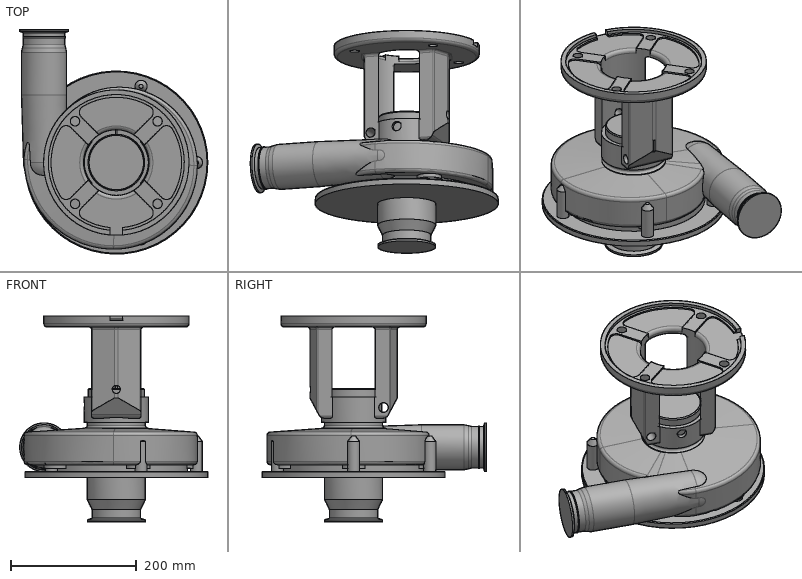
import cadquery as cq
import math

BASE_BOTTOM = 70.0
BASE_TOP = 80.0
CASING_BOTTOM = 90.5
ROOF_EDGE = 142.5
CASING_SHOULDER = 149.0
HUB_BOTTOM = 157.8
HUB_TOP = 198.0
SHAFT_TOP = 211.5
FLANGE_BOTTOM = 309.2
FLANGE_TOP = 326.5

BASE_RADIUS = 145.5
BASE_CHAMFER = 1.5
INLET_RADIUS = 46.3
INLET_NECK_RADIUS = 38.5
INLET_CONE_TOP = 35.3
INLET_CONE_BOTTOM = 19.2
INLET_RIM_RADIUS = 46.0
INLET_RIM_THICKNESS = 3.2
INLET_RIM_TOP = 5.7

SPIRAL_START_RADIUS = 146.5
SPIRAL_STEP = 9.0
SPIRAL_START_ANGLE = 180
SPIRAL_SWEEP = 324
TONGUE_RADIUS = 78.5
TONGUE_SWEEP = 55
CASING_FILLET = 5.5
ROOF_TOP_SCALE = 0.33
PLINTH_RADIUS = 113.3

POST_COUNT = 5
POST_CIRCLE_RADIUS = 127.0
POST_RADIUS = 9.5
POST_SHOULDER = 127.5
POST_TOP = 136.0
POST_TIP_RADIUS = 3.2
PAD_RADIUS = 19.5
PAD_INSET = 25.0
PAD_BOTTOM = 84.8

HUB_RADIUS = 51.3
NECK_RADIUS = 46.3
NECK_FILLET_RADIUS = 4.3
SHAFT_RADIUS = 45.0
SHAFT_CHAMFER = 1.8
HUB_HOLE_RADIUS = 7.5
HUB_HOLE_HEIGHT = 186.0

OUTLET_X = -114.7
OUTLET_Z = 118.3
OUTLET_END = 211.0
OUTLET_START_RADIUS = 32.8
OUTLET_RADIUS = 36.0
OUTLET_TAPER_END = 107.5
OUTLET_SHOULDER_START = 175.0
OUTLET_SHOULDER_RADIUS = 34.5
OUTLET_SHOULDER_END = 182.0
OUTLET_NECK_RADIUS = 33.0
OUTLET_NECK_START = 187.5
OUTLET_BEAD_RADIUS = 34.0
OUTLET_BEAD_START = 198.0
OUTLET_BEAD_END = 200.0
OUTLET_RIM_RADIUS = 39.0
OUTLET_RIM_THICKNESS = 3.0
OUTLET_RIM_TAPER = 2.0

FLANGE_RADIUS = 115.5
FLANGE_FILLET = 5.5
FLANGE_BORE_RADIUS = 52.0
RECESS_RADIUS = 108.0
RECESS_DEPTH = 5.0
POCKET_RADIUS = 103.5
POCKET_DEPTH = 7.5
POCKET_CORNER_RADIUS = 10.7
BORE_EDGE_RADIUS = 6.0
SPOKE_WIDTH = 23.5
BOLT_CIRCLE_RADIUS = 92.5
BOLT_HOLE_RADIUS = 7.5
NOTCH_WIDTH = 20.0

LEG_HALF_WIDTH = 39.2
LEG_SIDE_DEPTH = 58.5
LEG_RIDGE_DEPTH = 69.5
LEG_RIDGE_HALF_WIDTH = 3.0
LEG_INNER_DEPTH = 17.8
LEG_EDGE_FILLET = 2.0
LEG_BOTTOM = 164.2
LEG_BEVEL_TOP = 196.5
LEG_BEVEL_SLOPE = 1.9
FOOT_FRONT_FILLET = 10.7
FOOT_SIDE_FILLET = 3.5
LEG_ROOT_FILLET = 4.3
FRONT_HOLE_RADIUS = 6.5
FRONT_HOLE_HEIGHT = 210.0
SIDE_HOLE_RADIUS = 7.5
SIDE_HOLE_DEPTH = 47.5
SIDE_HOLE_HEIGHT = 181.3
SLIT_WIDTH = 3.0
SLIT_BOTTOM = 194.5
SLIT_TOP = 216.0


def disc(radius, bottom, top):
    """Cylinder on the pump axis between two heights."""
    return cq.Workplane("XY").workplane(offset=bottom).circle(radius).extrude(top - bottom)


def revolve_about_z(points):
    """Solid of revolution from (radius, height) points."""
    return cq.Workplane("XZ").polyline(points).close().revolve(360, (0, 0), (0, 1))


def polar(radius, degrees):
    angle = math.radians(degrees)
    return (radius * math.cos(angle), radius * math.sin(angle))


def spiral_radius(degrees):
    """Distance of the casing wall from the axis, counted on from the spiral start."""
    return SPIRAL_START_RADIUS - SPIRAL_STEP * (degrees - SPIRAL_START_ANGLE) / 90


def casing_outline(height, inset=0.0, scale=1.0):
    """Spiral of tangent quarter arcs, closed by a tongue arc and a chord inside the outlet."""
    half_step = scale * SPIRAL_STEP / 2
    radius = scale * (SPIRAL_START_RADIUS - SPIRAL_STEP / 2 - inset)
    tongue_radius = scale * (TONGUE_RADIUS - inset)
    tongue_x = tongue_radius - radius - half_step

    def tongue_point(sweep):
        x, y = polar(tongue_radius, SPIRAL_START_ANGLE - sweep)
        return (tongue_x + x, half_step + y)

    outline = cq.Workplane("XY").workplane(offset=height).moveTo(*tongue_point(0))
    quarter_centres = [(-1, 1), (-1, -1), (1, -1), (1, 1)]
    for quarter, (side_x, side_y) in enumerate(quarter_centres):
        start = SPIRAL_START_ANGLE + 90 * quarter
        sweep = min(90, SPIRAL_SWEEP - 90 * quarter)
        mid_x, mid_y = polar(radius, start + sweep / 2)
        end_x, end_y = polar(radius, start + sweep)
        centre_x = half_step * side_x
        centre_y = half_step * side_y
        outline = outline.threePointArc(
            (centre_x + mid_x, centre_y + mid_y),
            (centre_x + end_x, centre_y + end_y),
        )
        radius -= 2 * half_step
    return (
        outline
        .lineTo(*tongue_point(TONGUE_SWEEP))
        .threePointArc(tongue_point(TONGUE_SWEEP / 2), tongue_point(0))
        .close()
    )


def make_base_and_inlet():
    plate = disc(BASE_RADIUS, BASE_BOTTOM, BASE_TOP).faces(">Z").chamfer(BASE_CHAMFER)
    inlet = revolve_about_z([
        (0, BASE_TOP),
        (INLET_RADIUS, BASE_TOP),
        (INLET_RADIUS, INLET_CONE_TOP),
        (INLET_NECK_RADIUS, INLET_CONE_BOTTOM),
        (INLET_NECK_RADIUS, INLET_RIM_TOP),
        (INLET_RIM_RADIUS, INLET_RIM_THICKNESS),
        (INLET_RIM_RADIUS, 0),
        (0, 0),
    ])
    return plate.union(inlet)


def make_casing():
    wall = (
        casing_outline(CASING_BOTTOM)
        .extrude(ROOF_EDGE - CASING_BOTTOM)
        .faces("<Z or >Z")
        .edges()
        .fillet(CASING_FILLET)
    )
    roof_edge = wall.faces(">Z").wires().val()
    roof_top = casing_outline(CASING_SHOULDER, CASING_FILLET, ROOF_TOP_SCALE).wire().val()
    roof = cq.Workplane(cq.Solid.makeLoft([roof_edge, roof_top], True))
    return wall.union(roof).union(disc(PLINTH_RADIUS, BASE_TOP, CASING_BOTTOM))


def make_posts():
    post = revolve_about_z([
        (0, BASE_TOP),
        (POST_RADIUS, BASE_TOP),
        (POST_RADIUS, POST_SHOULDER),
        (POST_TIP_RADIUS, POST_TOP),
        (0, POST_TOP),
    ])
    pad = disc(PAD_RADIUS, PAD_BOTTOM, CASING_BOTTOM + CASING_FILLET)
    posts = cq.Workplane("XY")
    for index in range(POST_COUNT):
        degrees = SPIRAL_START_ANGLE + 360 / POST_COUNT * (index + 0.5)
        post_x, post_y = polar(POST_CIRCLE_RADIUS, degrees)
        pad_x, pad_y = polar(spiral_radius(degrees) - PAD_INSET, degrees)
        posts = posts.union(post.translate((post_x, post_y, 0)))
        posts = posts.union(pad.translate((pad_x, pad_y, 0)))
    return posts


def make_outlet():
    x = OUTLET_X
    profile = (
        cq.Workplane("XY")
        .workplane(offset=OUTLET_Z)
        .moveTo(x, -OUTLET_START_RADIUS)
        .radiusArc((x + OUTLET_START_RADIUS, 0), -OUTLET_START_RADIUS)
        .lineTo(x + OUTLET_RADIUS, OUTLET_TAPER_END)
        .lineTo(x + OUTLET_RADIUS, OUTLET_SHOULDER_START)
        .lineTo(x + OUTLET_SHOULDER_RADIUS, OUTLET_SHOULDER_END)
        .lineTo(x + OUTLET_NECK_RADIUS, OUTLET_NECK_START)
        .lineTo(x + OUTLET_NECK_RADIUS, OUTLET_BEAD_START)
        .lineTo(x + OUTLET_BEAD_RADIUS, OUTLET_BEAD_START)
        .lineTo(x + OUTLET_BEAD_RADIUS, OUTLET_BEAD_END)
        .lineTo(x + OUTLET_NECK_RADIUS, OUTLET_BEAD_END)
        .lineTo(x + OUTLET_NECK_RADIUS, OUTLET_END - OUTLET_RIM_THICKNESS - OUTLET_RIM_TAPER)
        .lineTo(x + OUTLET_RIM_RADIUS, OUTLET_END - OUTLET_RIM_THICKNESS)
        .lineTo(x + OUTLET_RIM_RADIUS, OUTLET_END)
        .lineTo(x, OUTLET_END)
        .close()
    )
    return profile.revolve(360, (x, 0), (x, 1))


def make_pocket_sectors(bottom):
    """Four round-cornered sectors between the spokes, from a height up to the flange top."""
    sectors = disc(POCKET_RADIUS, bottom, FLANGE_TOP)
    spoke = cq.Workplane("XY").box(2 * FLANGE_RADIUS, SPOKE_WIDTH, 3 * FLANGE_TOP)
    for degrees in (45, 135):
        sectors = sectors.cut(spoke.rotate((0, 0, 0), (0, 0, 1), degrees))
    outer_corners = [
        edge for edge in sectors.edges("|Z").vals()
        if math.hypot(edge.Center().x, edge.Center().y) > POCKET_RADIUS / 2
    ]
    return sectors.newObject(outer_corners).fillet(POCKET_CORNER_RADIUS)


def make_flange():
    floor = FLANGE_TOP - POCKET_DEPTH
    flange = disc(FLANGE_RADIUS, FLANGE_BOTTOM, FLANGE_TOP).faces("<Z").edges().fillet(FLANGE_FILLET)
    flange = flange.cut(disc(RECESS_RADIUS, FLANGE_TOP - RECESS_DEPTH, FLANGE_TOP))
    flange = flange.cut(make_pocket_sectors(floor))

    round_over = (
        cq.Workplane("XZ")
        .moveTo(0, floor)
        .lineTo(FLANGE_BORE_RADIUS + BORE_EDGE_RADIUS, floor)
        .radiusArc((FLANGE_BORE_RADIUS, floor - BORE_EDGE_RADIUS), -BORE_EDGE_RADIUS)
        .lineTo(0, floor - BORE_EDGE_RADIUS)
        .close()
        .revolve(360, (0, 0), (0, 1))
    )
    flange = flange.cut(round_over.intersect(make_pocket_sectors(floor - BORE_EDGE_RADIUS)))

    notch = (
        cq.Workplane("XY")
        .workplane(offset=floor)
        .center(0, -FLANGE_RADIUS)
        .rect(NOTCH_WIDTH, 2 * (FLANGE_RADIUS - POCKET_RADIUS + 3.5))
        .extrude(POCKET_DEPTH)
    )
    bolt_holes = (
        cq.Workplane("XY")
        .workplane(offset=FLANGE_BOTTOM)
        .polarArray(BOLT_CIRCLE_RADIUS, 45, 360, 4)
        .circle(BOLT_HOLE_RADIUS)
        .extrude(FLANGE_TOP - FLANGE_BOTTOM)
    )
    return flange.cut(notch).cut(bolt_holes)


def make_front_leg():
    """Leg on the -Y side with a ridged outer face and a bevelled foot."""
    leg = (
        cq.Workplane("XY")
        .workplane(offset=LEG_BOTTOM)
        .polyline([
            (-LEG_HALF_WIDTH, -LEG_INNER_DEPTH),
            (-LEG_HALF_WIDTH, -LEG_SIDE_DEPTH),
            (-LEG_RIDGE_HALF_WIDTH, -LEG_RIDGE_DEPTH),
            (LEG_RIDGE_HALF_WIDTH, -LEG_RIDGE_DEPTH),
            (LEG_HALF_WIDTH, -LEG_SIDE_DEPTH),
            (LEG_HALF_WIDTH, -LEG_INNER_DEPTH),
        ])
        .close()
        .extrude(FLANGE_BOTTOM - LEG_BOTTOM)
    )
    side_edges = cq.selectors.BoxSelector(
        (-2 * LEG_HALF_WIDTH, -LEG_SIDE_DEPTH - 3.5, 0),
        (2 * LEG_HALF_WIDTH, -LEG_SIDE_DEPTH + 3.5, FLANGE_TOP),
    )
    leg = leg.edges("|Z").edges(side_edges).fillet(LEG_EDGE_FILLET)

    foot_front = -LEG_RIDGE_DEPTH + (LEG_BEVEL_TOP - LEG_BOTTOM) / LEG_BEVEL_SLOPE
    side_profile = (
        cq.Workplane("YZ")
        .polyline([
            (-LEG_RIDGE_DEPTH, FLANGE_BOTTOM),
            (-LEG_RIDGE_DEPTH, LEG_BEVEL_TOP),
            (foot_front, LEG_BOTTOM),
            (-LEG_INNER_DEPTH, LEG_BOTTOM),
            (-LEG_INNER_DEPTH, FLANGE_BOTTOM),
        ])
        .close()
        .extrude(2 * LEG_HALF_WIDTH, both=True)
        .faces("<Z")
        .edges("<Y")
        .fillet(FOOT_FRONT_FILLET)
    )
    front_profile = (
        cq.Workplane("XZ")
        .center(0, (LEG_BOTTOM + FLANGE_BOTTOM) / 2)
        .rect(2 * LEG_HALF_WIDTH, FLANGE_BOTTOM - LEG_BOTTOM)
        .extrude(2 * LEG_RIDGE_DEPTH)
        .faces("<Z")
        .edges("|Y")
        .fillet(FOOT_SIDE_FILLET)
    )
    return leg.intersect(side_profile).intersect(front_profile)


def make_bracket():
    """Motor flange on two legs, bored through down to the hub shoulder."""
    front_leg = make_front_leg()
    legs = front_leg.union(front_leg.mirror("XZ"))
    bracket = make_flange().union(legs)
    root = cq.selectors.BoxSelector(
        (-LEG_HALF_WIDTH - 3.5, -LEG_RIDGE_DEPTH - 3.5, FLANGE_BOTTOM - 0.5),
        (LEG_HALF_WIDTH + 3.5, LEG_RIDGE_DEPTH + 3.5, FLANGE_BOTTOM + 0.5),
    )
    bracket = bracket.edges(root).fillet(LEG_ROOT_FILLET)
    return bracket.cut(disc(FLANGE_BORE_RADIUS, HUB_TOP, FLANGE_TOP))


def make_hub():
    fillet_top = CASING_SHOULDER + NECK_FILLET_RADIUS
    neck = (
        cq.Workplane("XZ")
        .moveTo(0, CASING_BOTTOM)
        .lineTo(NECK_RADIUS + NECK_FILLET_RADIUS, CASING_BOTTOM)
        .lineTo(NECK_RADIUS + NECK_FILLET_RADIUS, CASING_SHOULDER)
        .radiusArc((NECK_RADIUS, fillet_top), NECK_FILLET_RADIUS)
        .lineTo(NECK_RADIUS, HUB_BOTTOM)
        .lineTo(0, HUB_BOTTOM)
        .close()
        .revolve(360, (0, 0), (0, 1))
    )
    return neck.union(disc(HUB_RADIUS, HUB_BOTTOM, HUB_TOP))


def make_cross_holes():
    """Holes through the legs and hub wall; the shaft fills whatever they cut inside it."""
    front_hole = (
        cq.Workplane("XZ")
        .center(0, FRONT_HOLE_HEIGHT)
        .circle(FRONT_HOLE_RADIUS)
        .extrude(LEG_RIDGE_DEPTH)
    )
    hub_hole = (
        cq.Workplane("YZ")
        .center(0, HUB_HOLE_HEIGHT)
        .circle(HUB_HOLE_RADIUS)
        .extrude(-HUB_RADIUS)
    )
    side_hole = (
        cq.Workplane("YZ")
        .center(SIDE_HOLE_DEPTH, SIDE_HOLE_HEIGHT)
        .circle(SIDE_HOLE_RADIUS)
        .extrude(LEG_HALF_WIDTH, both=True)
    )
    rear_slit = (
        cq.Workplane("XZ")
        .center(0, (SLIT_BOTTOM + SLIT_TOP) / 2)
        .rect(SLIT_WIDTH, SLIT_TOP - SLIT_BOTTOM)
        .extrude(-LEG_RIDGE_DEPTH)
    )
    return front_hole.union(hub_hole).union(side_hole).union(rear_slit)


shaft = disc(SHAFT_RADIUS, CASING_BOTTOM, SHAFT_TOP).faces(">Z").chamfer(SHAFT_CHAMFER)
upper_body = make_bracket().union(make_hub()).cut(make_cross_holes())
result = (
    make_base_and_inlet()
    .union(make_casing())
    .union(make_outlet())
    .union(make_posts())
    .union(upper_body)
    .union(shaft)
)